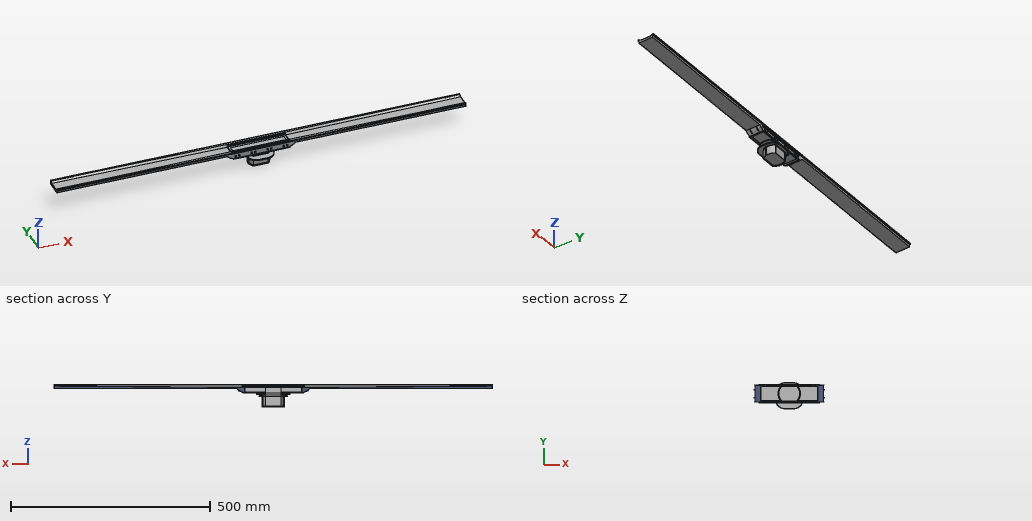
import cadquery as cq

total_length = 1100.0
total_height = 55.9

rim_width = 48.0
rim_thickness = 3.0
web_width = 43.0
trough_height = 10.0
end_wall_top_half = 20.5
inner_wall_top_half = 17.0
wall_bottom_half = 14.0
end_floor_depth = 3.3
inner_floor_depth = 6.5
end_floor_sag = 0.05
inner_floor_sag = 0.3

bowl_top_half = 91.0
bowl_bottom_half = 73.0
bowl_depth = 20.5
bowl_wall = 2.0
bowl_rim_half_length = 76.0
bowl_rim_width = 46.5
bowl_rim_thickness = 1.2
bowl_end_bulge_x = 85.0
bowl_end_bulge_z = -15.2
end_rib_offset = 10.0
end_rib_width = 1.5
end_rib_corner_x = 87.0
end_rib_corner_z = -15.5

side_rib_pair_count = 4
side_rib_pair_pitch = 43.1
side_rib_spacing = 10.0
side_rib_width = 3.3
side_rib_top = -11.0
side_rib_height = 3.3

frame_half_length = 78.0
frame_depth = 7.0
frame_side_inset = 2.0
frame_ledge_width = 6.0
cover_width = 27.0
cover_top = -4.0
cover_thickness = 1.5
cover_groove_width = 33.6
cover_groove_depth = 2.0

cup_radius = 28.2
cup_width = 40.0
cup_wall = 2.0
cup_rib_offset = -5.5
cup_rib_width = 3.0
cup_rib_reach = 0.3
wing_radius = 42.0
wing_width = 36.0
wing_top = -22.0
wing_thickness = 2.5

flange_length = 71.0
flange_width = 65.87
flange_corner_radius = 25.0
flange_offset = -5.5
flange_top = -26.5
flange_thickness = 3.0
flange_bottom = flange_top - flange_thickness


def block(length, width, top, bottom):
    """Box centred on the Z axis between two heights."""
    return cq.Workplane("XY").workplane(offset=bottom).rect(length, width).extrude(top - bottom)


def cup_prism(inset, top, bottom):
    """Cylinder with flattened front and back between two heights, moved inwards by an inset."""
    radius = cup_radius - inset
    cylinder = cq.Workplane("XY").workplane(offset=bottom).circle(radius).extrude(top - bottom)
    return cylinder.intersect(block(2 * radius, cup_width - 2 * inset, top, bottom))


def floor_section(sketch, top_half, depth, sag):
    """Sloped walls with a floor of two shallow arcs meeting in a centre ridge."""
    middle = wall_bottom_half / 2
    return (
        sketch.moveTo(-top_half, 0)
        .lineTo(-wall_bottom_half, -depth)
        .threePointArc((-middle, -depth - sag), (0, -depth))
        .threePointArc((middle, -depth - sag), (wall_bottom_half, -depth))
        .lineTo(top_half, 0)
        .close()
    )


def make_floor_cutter():
    """Open space above the floor of the +X arm, deepening towards the middle."""
    arm_length = total_length / 2 - frame_half_length
    inner = cq.Workplane("YZ").workplane(offset=frame_half_length)
    sketch = floor_section(inner, inner_wall_top_half, inner_floor_depth, inner_floor_sag)
    sketch = sketch.workplane(offset=arm_length)
    return floor_section(sketch, end_wall_top_half, end_floor_depth, end_floor_sag).loft(ruled=True)


def make_bowl():
    """Outside of the bowl: curved ends, a thin bottom rim and ribs."""
    bowl = (
        cq.Workplane("XZ")
        .moveTo(-bowl_top_half, -trough_height)
        .threePointArc((-bowl_end_bulge_x, bowl_end_bulge_z), (-bowl_bottom_half, -bowl_depth))
        .lineTo(bowl_bottom_half, -bowl_depth)
        .threePointArc((bowl_end_bulge_x, bowl_end_bulge_z), (bowl_top_half, -trough_height))
        .close()
        .extrude(web_width / 2, both=True)
    )
    bowl = bowl.union(
        block(2 * bowl_rim_half_length, bowl_rim_width, bowl_rim_thickness - bowl_depth, -bowl_depth)
    )

    end_rib_outline = [
        (-bowl_top_half, -trough_height),
        (-end_rib_corner_x, end_rib_corner_z),
        (-bowl_bottom_half, -bowl_depth),
        (bowl_bottom_half, -bowl_depth),
        (end_rib_corner_x, end_rib_corner_z),
        (bowl_top_half, -trough_height),
    ]
    end_rib = cq.Workplane("XZ").polyline(end_rib_outline).close().extrude(end_rib_width / 2, both=True)
    for y in (-end_rib_offset, end_rib_offset):
        bowl = bowl.union(end_rib.translate((0, y, 0)))

    side_rib = block(side_rib_width, bowl_rim_width, side_rib_top, side_rib_top - side_rib_height)
    for index in range(side_rib_pair_count):
        pair_x = (index - (side_rib_pair_count - 1) / 2) * side_rib_pair_pitch
        for shift in (-side_rib_spacing / 2, side_rib_spacing / 2):
            bowl = bowl.union(side_rib.translate((pair_x + shift, 0, 0)))
    return bowl


def make_trough():
    """Full-length trough with its bowl, a seat for the frame and the drain opening."""
    trough = block(total_length, web_width, 0, -trough_height)
    trough = trough.union(block(total_length, rim_width, 0, -rim_thickness))
    trough = trough.union(make_bowl())

    cutter = make_floor_cutter()
    trough = trough.cut(cutter).cut(cutter.mirror("YZ"))
    trough = trough.cut(frame_blank())

    cavity_length = 2 * (bowl_bottom_half - bowl_wall)
    cavity_width = web_width - 2 * (frame_side_inset + bowl_wall)
    trough = trough.cut(block(cavity_length, cavity_width, -frame_depth, bowl_wall - bowl_depth))
    return trough.cut(cup_prism(cup_wall, -frame_depth, -bowl_depth))


def frame_blank():
    """Outside of the frame, which is also the space it takes from the trough."""
    length = 2 * frame_half_length
    blank = block(length, web_width - 2 * frame_side_inset, 0, -frame_depth)
    return blank.union(block(length, rim_width, 0, -rim_thickness))


def make_frame():
    """Two rails joined by a ledge around the opening under the cover."""
    length = 2 * frame_half_length
    cover_bottom = cover_top - cover_thickness
    frame = frame_blank()
    frame = frame.cut(block(length, cover_groove_width, 0, -cover_groove_depth))
    frame = frame.cut(block(length, cover_width, 0, cover_bottom))
    opening_length = length - 2 * frame_ledge_width
    opening_width = cover_width - 2 * frame_ledge_width
    return frame.cut(block(opening_length, opening_width, cover_bottom, -frame_depth))


def make_cover():
    return block(2 * frame_half_length, cover_width, cover_top, cover_top - cover_thickness)


def make_collar():
    """Neck under the bowl with two thin wings."""
    collar = cup_prism(0, -bowl_depth, flange_top)
    wing_bottom = wing_top - wing_thickness
    disc = cq.Workplane("XY").workplane(offset=wing_bottom).circle(wing_radius).extrude(wing_thickness)
    wings = disc.intersect(block(2 * wing_radius, wing_width, wing_top, wing_bottom))
    return collar.union(wings).cut(cup_prism(cup_wall, -bowl_depth, flange_top))


def make_flange():
    """Plate with large round corners and an opening that lines up with the neck."""
    plate = block(flange_length, flange_width, flange_top, flange_bottom)
    plate = plate.edges("|Z").fillet(flange_corner_radius)
    return plate.translate((0, flange_offset, 0)).cut(cup_prism(cup_wall, flange_top, flange_bottom))


def make_cup():
    """Cup with a closed bottom and an upright rib at each X end."""
    cup = cup_prism(0, flange_bottom, -total_height)
    rib = block(2 * (cup_radius + cup_rib_reach), cup_rib_width, flange_bottom, -total_height)
    cup = cup.union(rib.translate((0, cup_rib_offset, 0)))
    return cup.cut(cup_prism(cup_wall, flange_bottom, cup_wall - total_height))


trough = make_trough()
frame = make_frame()
cover = make_cover()
collar = make_collar()
flange = make_flange()
cup = make_cup()

bodies = [trough, frame, cover, collar, flange, cup]
result = cq.Compound.makeCompound([body.val() for body in bodies])